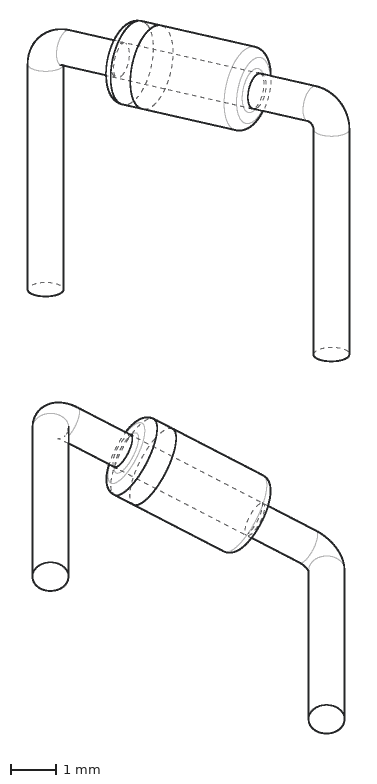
import cadquery as cq

span = 8.1
height = 6.9

wire_diameter = 0.8
wire_radius = wire_diameter / 2
bend_radius = 0.5

body_diameter = 1.9
body_length = 3.3
edge_radius = 0.2
collar_radius = 0.1

band_width = 0.5
band_seat_diameter = 1.895

leg_x = span / 2 - wire_radius
leg_end_z = body_diameter / 2 - height
body_end = body_length / 2
band_start = edge_radius - body_end


def cylinder_along_x(diameter, start, length):
    return cq.Workplane("YZ", origin=(start, 0, 0)).circle(diameter / 2).extrude(length)


def make_wire():
    """One wire that runs through the body and bends down into both legs."""
    path = (
        cq.Workplane("XZ")
        .moveTo(-leg_x, leg_end_z)
        .lineTo(-leg_x, -bend_radius)
        .radiusArc((bend_radius - leg_x, 0), bend_radius)
        .lineTo(leg_x - bend_radius, 0)
        .radiusArc((leg_x, -bend_radius), bend_radius)
        .lineTo(leg_x, leg_end_z)
    )
    leg_section = cq.Workplane("XY", origin=(-leg_x, 0, leg_end_z)).circle(wire_radius)
    return leg_section.sweep(path)


def make_band():
    """Thin marking ring, flush with the outside of the body."""
    ring = cylinder_along_x(body_diameter, band_start, band_width)
    return ring.cut(cylinder_along_x(band_seat_diameter, band_start, band_width))


def make_body(band):
    """Revolved body with rounded ends, concave collars, a wire bore and a band groove."""
    outer_radius = body_diameter / 2
    collar_end = body_end + collar_radius
    profile = (
        cq.Workplane("XY")
        .moveTo(-collar_end, wire_radius)
        .radiusArc((-body_end, wire_radius + collar_radius), -collar_radius)
        .lineTo(-body_end, outer_radius - edge_radius)
        .radiusArc((edge_radius - body_end, outer_radius), edge_radius)
        .lineTo(body_end - edge_radius, outer_radius)
        .radiusArc((body_end, outer_radius - edge_radius), edge_radius)
        .lineTo(body_end, wire_radius + collar_radius)
        .radiusArc((collar_end, wire_radius), -collar_radius)
        .close()
    )
    return profile.revolve(360, (0, 0, 0), (1, 0, 0)).cut(band)


wire = make_wire()
band = make_band()
body = make_body(band)

result = cq.Compound.makeCompound([body.val(), band.val(), wire.val()])